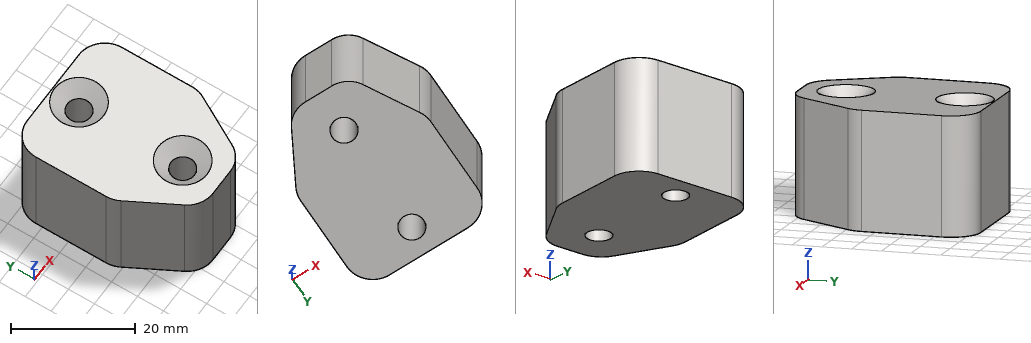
import cadquery as cq
import math

length = 32.5
width = 25.0
height = 20.0
corner_radius = 5.0

end_flat = 5.0
taper_angle = math.radians(29.1)

hole_diameter = 4.5
sink_diameter = 9.42
sink_angle = 90
hole_spacing = 20.0
upper_hole_y = length / 2 - corner_radius


def make_block():
    """Extrude the tapered outline and round all its upright edges."""
    half_width = width / 2
    half_length = length / 2
    end_turn = math.pi / 2 - taper_angle
    half_end = end_flat / 2 + corner_radius * math.tan(end_turn / 2)
    taper_length = (half_width - half_end) / math.tan(taper_angle)
    shoulder_y = taper_length - half_length
    outline = [
        (-half_width, half_length),
        (-half_width, shoulder_y),
        (-half_end, -half_length),
        (half_end, -half_length),
        (half_width, shoulder_y),
        (half_width, half_length),
    ]
    block = cq.Workplane("XY").polyline(outline).close().extrude(height)
    return block.edges("|Z").fillet(corner_radius)


def cut_screw_holes(block):
    """Drill both countersunk through holes from the top face."""
    hole_centres = [(0, upper_hole_y), (0, upper_hole_y - hole_spacing)]
    top_plane = block.faces(">Z").workplane(origin=(0, 0, height))
    return top_plane.pushPoints(hole_centres).cskHole(hole_diameter, sink_diameter, sink_angle)


result = cut_screw_holes(make_block())